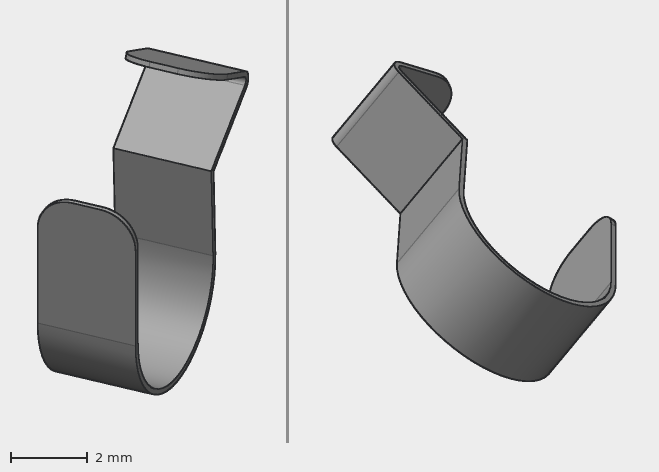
import cadquery as cq
import math

strip_width = 2.8
overall_depth = 7.05
overall_height = 8.03
thickness = 0.15
corner_radius = 0.995

bowl_outer = 2.5
bowl_inner = bowl_outer - thickness
front_leg_top = 3.87

leg_tilt = 2.5
arm_slope = 34.7
flap_slope = 25.0

bend_inner = 0.15
bend_outer = bend_inner + thickness
bend_centre = (overall_depth - bowl_outer - bend_outer, 4.305)

origin = (0.0, 0.0)
leg_normal = leg_tilt
arm_normal = arm_slope - 90
flap_normal = 90 - flap_slope


def polar(centre, radius, angle):
    """Point at a radius and an angle (degrees) from a centre."""
    turn = math.radians(angle)
    return (centre[0] + radius * math.cos(turn), centre[1] + radius * math.sin(turn))


def kink_point(bowl_radius, bend_radius):
    """Where the leg face tangent to the bowl meets the arm face tangent to the bend."""
    leg_start = polar(origin, bowl_radius, leg_normal)
    arm_end = polar(bend_centre, bend_radius, arm_normal)
    gap_y = arm_end[0] - leg_start[0]
    gap_z = arm_end[1] - leg_start[1]
    normal = math.radians(arm_normal)
    gap_to_arm = gap_y * math.cos(normal) + gap_z * math.sin(normal)
    leg_length = gap_to_arm / math.sin(math.radians(arm_normal - leg_normal))
    return polar(leg_start, leg_length, leg_normal + 90)


flap_start = polar(bend_centre, bend_outer, flap_normal)
flap_rise = overall_height - bowl_outer - flap_start[1]
flap_length = flap_rise / math.sin(math.radians(flap_slope))
flap_direction = flap_normal + 90
flap_tip_outer = polar(flap_start, flap_length, flap_direction)
flap_tip_inner = polar(flap_tip_outer, thickness, flap_normal + 180)

profile = (
    cq.Workplane("YZ")
    .moveTo(-bowl_outer, front_leg_top)
    .lineTo(-bowl_outer, 0)
    .threePointArc((0, -bowl_outer), polar(origin, bowl_outer, leg_normal))
    .lineTo(*kink_point(bowl_outer, bend_outer))
    .lineTo(*polar(bend_centre, bend_outer, arm_normal))
    .threePointArc(polar(bend_centre, bend_outer, 0), flap_start)
    .lineTo(*flap_tip_outer)
    .lineTo(*flap_tip_inner)
    .lineTo(*polar(bend_centre, bend_inner, flap_normal))
    .threePointArc(
        polar(bend_centre, bend_inner, 0), polar(bend_centre, bend_inner, arm_normal)
    )
    .lineTo(*kink_point(bowl_inner, bend_inner))
    .lineTo(*polar(origin, bowl_inner, leg_normal))
    .threePointArc((0, -bowl_inner), (-bowl_inner, 0))
    .lineTo(-bowl_inner, front_leg_top)
    .close()
)
strip = profile.extrude(strip_width / 2, both=True)


def round_end(body, end_centre):
    """Round the two corners of the strip end whose end face is centred at (Y, Z)."""
    end_face = cq.selectors.NearestToPointSelector((0, *end_centre))
    return body.faces(end_face).edges("not |X").fillet(corner_radius)


front_leg_end = (thickness / 2 - bowl_outer, front_leg_top)
flap_end = polar(flap_tip_outer, thickness / 2, flap_normal + 180)
strip = round_end(strip, front_leg_end)
result = round_end(strip, flap_end)